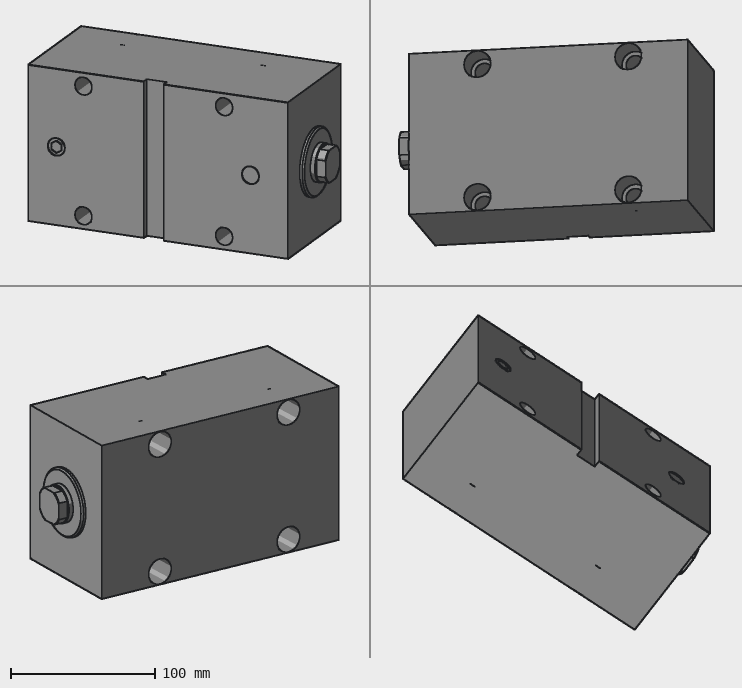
import cadquery as cq


TOTAL_LENGTH = 211.5
ROD_REACH = 14.0
HOUSING_LENGTH = TOTAL_LENGTH - ROD_REACH
HOUSING_DEPTH = 90.0
HOUSING_HEIGHT = 115.0
FRONT_Y = -HOUSING_DEPTH / 2
BACK_Y = HOUSING_DEPTH / 2
FRONT_EDGE_CHAMFER = 0.35

GROOVE_START = 88.0
GROOVE_WIDTH = 15.0
GROOVE_DEPTH = 5.3

BOLT_X_POSITIONS = (42.0, 149.1)
BOLT_Z = 47.5
BOLT_HOLE_DIAMETER = 13.0
COUNTERBORE_DEPTH = 24.0
COUNTERBORE_DIAMETER = 18.8

HEX_RECESS_X = 21.4
PLAIN_RECESS_X = 169.0
RECESS_DIAMETER = 13.0
RECESS_DEPTH = 0.8
HEX_ACROSS_CORNERS = 8.9

GLAND_DIAMETER = 50.1
GLAND_THICKNESS = 3.2
GLAND_CHAMFER = 1.3

ROD_DIAMETER = 28.0
ROD_SHOULDER = 7.0
TIP_DIAMETER = 26.9
FLATS_WIDTH = 24.0
ROD_CHAMFER = 0.5


def front_plane(x, y):
    """Plane at (x, y) on the mid-height line, facing outwards along -Y."""
    return cq.Plane(origin=(x, y, 0), xDir=(1, 0, 0), normal=(0, -1, 0))


def end_plane(x):
    """Plane across the rod axis at x, facing +X."""
    return cq.Plane(origin=(x, 0, 0), xDir=(0, 1, 0), normal=(1, 0, 0))


def housing_block():
    """Block with its long upper and lower front edges chamfered."""
    block = cq.Workplane("XY").box(HOUSING_LENGTH, HOUSING_DEPTH, HOUSING_HEIGHT)
    block = block.faces("<Y").edges("|X").chamfer(FRONT_EDGE_CHAMFER)
    return block.translate((HOUSING_LENGTH / 2, 0, 0))


def key_groove():
    groove = cq.Workplane("XY").box(GROOVE_WIDTH, GROOVE_DEPTH, HOUSING_HEIGHT)
    return groove.translate((GROOVE_START + GROOVE_WIDTH / 2, FRONT_Y + GROOVE_DEPTH / 2, 0))


def bolt_hole(x, z):
    """Through hole with its counterbore at the back."""
    back = cq.Workplane(front_plane(x, BACK_Y)).center(0, z)
    hole = back.circle(BOLT_HOLE_DIAMETER / 2).extrude(HOUSING_DEPTH)
    counterbore = back.circle(COUNTERBORE_DIAMETER / 2).extrude(COUNTERBORE_DEPTH)
    return hole.union(counterbore)


def plain_recess(x):
    floor = cq.Workplane(front_plane(x, FRONT_Y + RECESS_DEPTH))
    return floor.circle(RECESS_DIAMETER / 2).extrude(RECESS_DEPTH)


def hex_recess(x):
    """Round recess that leaves a hexagon standing flush with the front face."""
    floor = cq.Workplane(front_plane(x, FRONT_Y + RECESS_DEPTH))
    island = floor.transformed(rotate=(0, 0, 90)).polygon(6, HEX_ACROSS_CORNERS).extrude(RECESS_DEPTH)
    return plain_recess(x).cut(island)


def make_housing():
    body = housing_block().cut(key_groove())
    for x in BOLT_X_POSITIONS:
        for z in (-BOLT_Z, BOLT_Z):
            body = body.cut(bolt_hole(x, z))
    return body.cut(plain_recess(PLAIN_RECESS_X)).cut(hex_recess(HEX_RECESS_X))


def make_gland():
    """Ring against the housing face, bored to fit the rod and chamfered at its outer rim."""
    disc = cq.Workplane(end_plane(HOUSING_LENGTH)).circle(GLAND_DIAMETER / 2).extrude(GLAND_THICKNESS)
    disc = disc.faces(">X").chamfer(GLAND_CHAMFER)
    bore = cq.Workplane(end_plane(HOUSING_LENGTH)).circle(ROD_DIAMETER / 2).extrude(GLAND_THICKNESS)
    return disc.cut(bore)


def make_rod():
    """Round rod whose chamfered tip carries four wrench flats."""
    shank = cq.Workplane(end_plane(HOUSING_LENGTH)).circle(ROD_DIAMETER / 2).extrude(ROD_SHOULDER)
    shank = shank.faces(">X").chamfer(ROD_CHAMFER)
    tip_length = ROD_REACH - ROD_SHOULDER
    tip_start = end_plane(HOUSING_LENGTH + ROD_SHOULDER)
    tip = cq.Workplane(tip_start).circle(TIP_DIAMETER / 2).extrude(tip_length)
    tip = tip.faces(">X").chamfer(ROD_CHAMFER)
    flats = cq.Workplane(tip_start).rect(FLATS_WIDTH, FLATS_WIDTH).extrude(tip_length)
    return shank.union(tip.intersect(flats))


housing = make_housing()
gland = make_gland()
rod = make_rod()

result = cq.Compound.makeCompound([housing.val(), gland.val(), rod.val()])